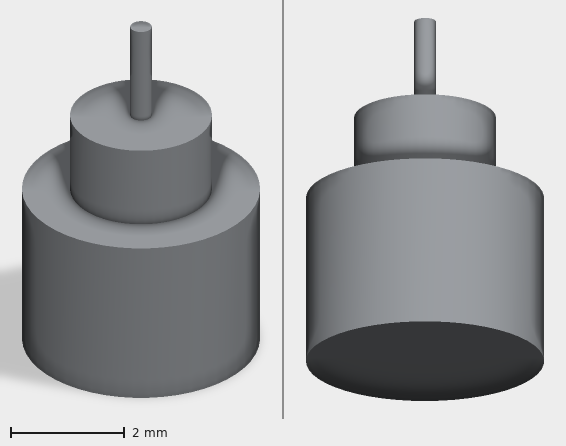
import cadquery as cq

total_height = 6.35
body_height = 3.05
collar_height = 1.5
pin_height = total_height - body_height - collar_height

body_diameter = 4.2
collar_diameter = 2.5
pin_diameter = 0.38


def cylinder(diameter, height, base_z):
    """Upright cylinder on the Z axis, starting at base_z."""
    return cq.Workplane("XY").workplane(offset=base_z).circle(diameter / 2).extrude(height)


body = cylinder(body_diameter, body_height, 0)
collar = cylinder(collar_diameter, collar_height, body_height)
pin = cylinder(pin_diameter, pin_height, body_height + collar_height)

result = body.union(collar).union(pin)